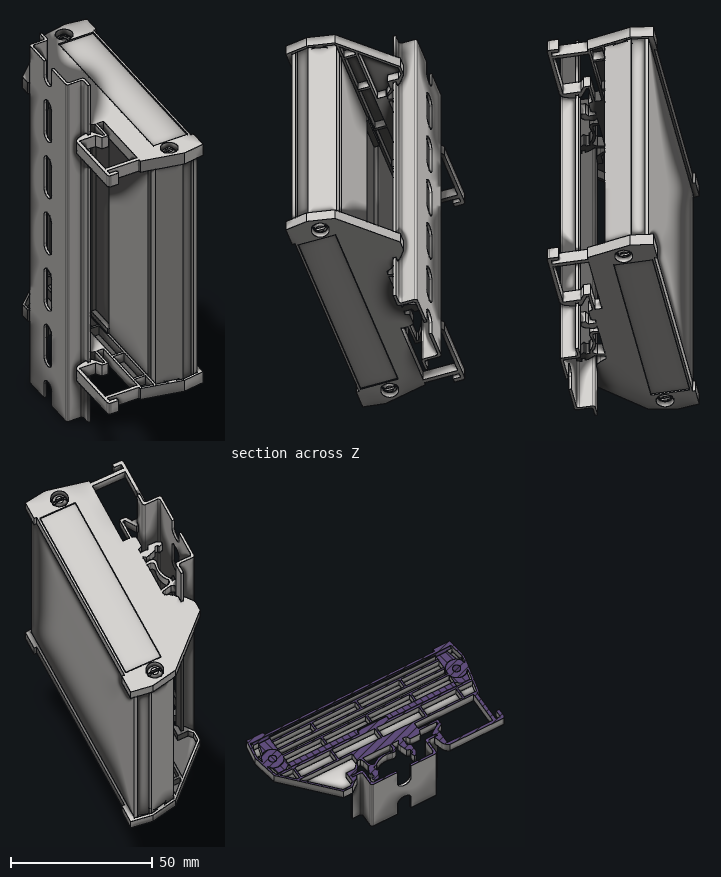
import cadquery as cq


rail_length = 150.0
rail_width = 35.1
rail_height = 7.5
rail_web_width = 27.3
rail_sheet = 1.0
rail_bend_radius = 0.9
rail_x = -0.22
rail_base_y = -19.6
rail_top_y = rail_base_y + rail_height
rail_slot_pitch = rail_length / 6
rail_slot_length = 18.0
rail_slot_width = 5.4

cap_outer_z = 53.1
cap_depth = 5.0
cap_inner_z = cap_outer_z - cap_depth
cap_wall = 0.9
cap_plate = 1.0
plate_under_z = cap_outer_z - cap_plate
horn_y = 19.8
horn_x = 42.0
horn_inner_x = 35.0
cap_back_y = 18.8
widest_x = 43.2
widest_y = 11.5
shoulder_x = 39.8
shoulder_y = -4.5
lower_corner_x = 41.2
floor_y = 1.6
foot_left_x = -23.7
foot_right_x = -20.0
foot_y = -16.8
belly_y = -8.0
catch_x = 13.0
join_overlap = 0.3
clip_root_y = belly_y + join_overlap
lever_root_x = catch_x - join_overlap
lever_root_y = shoulder_y + join_overlap

window_half_width = 34.2
window_bottom_y = 3.9
window_depth = 0.6
rib_thickness = 0.9
long_rib_ys = (14.7, 10.6, 7.5)
cross_rib_xs = (-18.3, 0.2, 18.3)
end_rib_x = 33.6

tab_width = 12.0
tab_bottom_y = 1.2
tab_reach = 2.0

cover_half_width = 41.0
cover_thickness = 1.4
cover_top_y = cap_back_y - cap_wall
cover_bottom_y = cover_top_y - cover_thickness
cover_recess = 0.5
cover_recess_y = cover_bottom_y + cover_recess
tray_half_length = plate_under_z
tray_widest_x = 41.8
tray_top_x = 38.8
tray_step_x = 40.2
tray_foot_x = 39.6
groove_outer_x = 36.5
groove_inner_x = 34.2
groove_depth = 1.6
channel_depth = 1.5
channel_top_y = floor_y + channel_depth

screw_x = 38.0
screw_y = 8.2
bore_radius = 3.2
boss_radius = 3.9
seat_depth = 3.6
head_radius = 2.7
head_height = 2.8
head_chamfer = 1.4
screw_slot_width = 0.9
screw_slot_depth = 1.2
shank_radius = 1.4
shank_length = 9.0


def extrude_between(points, z_low, z_high):
    """Prism over a closed XY outline, from z_low to z_high."""
    return cq.Workplane("XY").workplane(offset=z_low).polyline(points).close().extrude(z_high - z_low)


def box_between(x, y, z):
    """Box from (low, high) pairs along each axis."""
    size = [high - low for low, high in (x, y, z)]
    return cq.Workplane("XY").box(*size, centered=False).translate((x[0], y[0], z[0]))


def cylinder_between(x, y, radius, z_low, z_high):
    """Upright cylinder at (x, y), from z_low to z_high."""
    return cq.Workplane("XY").workplane(offset=z_low).center(x, y).circle(radius).extrude(z_high - z_low)


def make_rail():
    """Hat-section rail with rounded bends and a row of slots, the end slots open."""
    flange_x = rail_width / 2
    web_x = rail_web_width / 2
    inner_x = web_x - rail_sheet
    flange_bottom = rail_top_y - rail_sheet
    web_top = rail_base_y + rail_sheet
    right_half = [
        (web_x, rail_base_y), (web_x, flange_bottom), (flange_x, flange_bottom),
        (flange_x, rail_top_y), (inner_x, rail_top_y), (inner_x, web_top),
    ]
    left_half = [(-x, y) for x, y in reversed(right_half)]
    half_length = rail_length / 2
    rail = extrude_between(right_half + left_half, -half_length, half_length)
    bends = cq.selectors.BoxSelector(
        (-web_x - rail_sheet, rail_base_y - 1.5, -1.5), (web_x + rail_sheet, rail_top_y + 1.5, 1.5)
    )
    rail = rail.edges("|Z").edges(bends).fillet(rail_bend_radius)
    slots = (
        cq.Workplane("XZ", origin=(0, web_top, 0))
        .pushPoints([(0, i * rail_slot_pitch) for i in range(-3, 4)])
        .slot2D(rail_slot_length, rail_slot_width, 90)
        .extrude(rail_sheet)
    )
    return rail.cut(slots).translate((rail_x, 0, 0))


def cap_body():
    """Solid shield of the cap, with two horns and the fixed jaw at the lower left."""
    outline = [
        (-horn_x, horn_y), (-horn_inner_x, horn_y), (-horn_inner_x, cap_back_y),
        (horn_inner_x, cap_back_y), (horn_inner_x, horn_y), (horn_x, horn_y),
        (widest_x, widest_y), (shoulder_x, shoulder_y), (catch_x, shoulder_y),
        (catch_x, belly_y), (12.5, -9.5), (8.2, -9.5), (7.5, belly_y),
        (-11.5, belly_y), (-12.6, -8.1), (-13.8, -10.4), (-14.8, -11.7), (-15.9, -12.3), (-15.9, -13.2),
        (-16.6, -14.2), (foot_right_x, foot_y), (foot_left_x, foot_y),
        (-lower_corner_x, floor_y), (-widest_x, widest_y),
    ]
    return extrude_between(outline, cap_inner_z, cap_outer_z)


def rail_clips():
    """The hooked foot, its curved spring and the short finger that sit inside the rail."""
    hooked_foot = [
        (-11.5, clip_root_y), (-11.0, -9.3), (-10.5, -11.8), (-11.7, -14.1), (-12.0, -15.5),
        (-11.1, -15.5), (-11.1, -16.8), (-12.5, -16.8), (-11.7, -18.5), (-9.8, -18.5), (-8.8, -16.4),
        (-8.0, -15.2), (-8.8, -14.5), (-8.8, -13.2), (-7.6, -13.2), (-7.6, -12.0), (-8.8, -12.0),
        (-9.8, -10.6), (-10.4, clip_root_y),
    ]
    finger = [
        (4.5, clip_root_y), (3.5, -9.0), (3.8, -10.4), (4.6, -12.9), (5.8, -13.5), (6.0, -14.7),
        (5.2, -14.8), (5.7, -16.5), (6.6, -16.5), (7.5, -14.8), (7.5, -11.5), (6.2, -10.8),
        (6.2, clip_root_y),
    ]
    spring = (
        cq.Workplane("XY").workplane(offset=cap_inner_z)
        .moveTo(-8.0, -13.2)
        .lineTo(-8.0, -12.0)
        .threePointArc((-5.0, -10.4), (-2.2, -10.2))
        .lineTo(-0.9, -10.4)
        .threePointArc((0.3, -10.2), (0.8, -9.3))
        .lineTo(0.8, clip_root_y)
        .lineTo(1.6, clip_root_y)
        .lineTo(2.0, -9.8)
        .threePointArc((1.4, -11.1), (-0.2, -11.4))
        .lineTo(-2.2, -11.0)
        .threePointArc((-5.4, -11.5), (-8.0, -13.2))
        .close()
        .extrude(cap_depth)
    )
    clips = spring
    for outline in (hooked_foot, finger):
        clips = clips.union(extrude_between(outline, cap_inner_z, cap_outer_z))
    return clips


def release_lever():
    """Springy frame at the right that grips the other rail flange and ends in a pull hook."""
    return (
        cq.Workplane("XY").workplane(offset=cap_inner_z)
        .polyline([
            (lever_root_x, -7.0), (21.2, -7.0), (21.2, -9.6), (18.9, -11.0), (18.9, -17.4),
            (37.4, -17.4), (37.4, lever_root_y), (38.8, lever_root_y), (38.8, -17.4),
            (40.5, -17.4), (40.5, -14.5), (42.0, -14.5), (42.0, -17.7),
        ])
        .threePointArc((41.7, -18.5), (41.0, -18.8))
        .lineTo(19.0, -18.8)
        .threePointArc((17.8, -18.0), (17.0, -16.6))
        .lineTo(16.0, -13.5)
        .lineTo(16.0, -11.2)
        .lineTo(20.0, -8.7)
        .lineTo(20.0, -8.0)
        .lineTo(lever_root_x, -8.0)
        .close()
        .extrude(cap_depth)
    )


def hollow_below_plate(outline):
    """Pocket left inside an outline when a wall is kept along its edge and the plate above."""
    return (
        cq.Workplane("XY").workplane(offset=cap_inner_z)
        .polyline(outline).close().offset2D(-cap_wall, "intersection")
        .extrude(cap_depth - cap_plate)
    )


def make_cap(rail):
    """Upper end cap; its open side faces down, towards the tray."""
    slant = (lower_corner_x + foot_left_x) / (floor_y - foot_y)
    wall_bottom_x = -lower_corner_x + slant * (floor_y - shoulder_y)
    wall_top_x = wall_bottom_x - slant * cap_wall
    wall_top_y = shoulder_y + cap_wall
    housing_outline = [
        (-horn_x, cap_back_y), (horn_x, cap_back_y), (widest_x, widest_y), (shoulder_x, shoulder_y),
        (wall_bottom_x, shoulder_y), (-lower_corner_x, floor_y), (-widest_x, widest_y),
    ]
    jaw_outline = [
        (wall_top_x, wall_top_y), (-11.8, wall_top_y), (-11.8, -8.1), (-14.8, -11.2), (-17.8, -11.2),
        (-17.8, -14.8), (foot_right_x, foot_y), (foot_left_x, foot_y),
    ]
    housing_pocket = hollow_below_plate(housing_outline)
    cap = cap_body().cut(housing_pocket).cut(hollow_below_plate(jaw_outline))
    cap = cap.union(rail_clips()).union(release_lever()).cut(rail)

    under_plate = (cap_inner_z, plate_under_z)
    half_rib = rib_thickness / 2
    for y in long_rib_ys:
        cap = cap.union(box_between((-window_half_width, window_half_width),
                                    (y - half_rib, y + half_rib), under_plate))
    support_x = (-widest_x, widest_x)
    support = box_between(support_x, (floor_y - rib_thickness, floor_y), under_plate)
    cap = cap.union(support.intersect(housing_pocket))
    cross_spans = [
        (shoulder_y, floor_y),
        (window_bottom_y, long_rib_ys[2]),
        (long_rib_ys[1], long_rib_ys[0]),
    ]
    for x in cross_rib_xs:
        for span in cross_spans:
            cap = cap.union(box_between((x - half_rib, x + half_rib), span, under_plate))
    for x in (-end_rib_x, end_rib_x):
        cap = cap.union(box_between((x - half_rib, x + half_rib), cross_spans[0], under_plate))

    cap = cap.union(box_between((-window_half_width, window_half_width),
                                (cover_bottom_y, cover_recess_y), under_plate))

    tab = box_between((-tab_width / 2, tab_width / 2), (tab_bottom_y, channel_top_y),
                      (cap_inner_z - tab_reach, plate_under_z))
    cap = cap.union(tab)

    for x in (-screw_x, screw_x):
        cap = cap.union(cylinder_between(x, screw_y, boss_radius, cap_inner_z, cap_outer_z))
        cap = cap.cut(cylinder_between(x, screw_y, bore_radius, cap_outer_z - seat_depth, cap_outer_z))
        cap = cap.cut(cylinder_between(x, screw_y, shank_radius, cap_inner_z, cap_outer_z))

    window = box_between((-window_half_width, window_half_width), (window_bottom_y, cover_top_y),
                         (cap_outer_z - window_depth, cap_outer_z))
    return cap.cut(window)


def make_tray():
    """Extruded tray with side grooves, two V grooves and a central channel underneath."""
    right_half = [
        (tab_width / 2, channel_top_y), (tab_width / 2, floor_y), (groove_inner_x, floor_y),
        (groove_inner_x, floor_y + groove_depth), (groove_outer_x, floor_y), (tray_foot_x, floor_y),
        (tray_widest_x, widest_y), (tray_step_x, widest_y), (tray_top_x, cover_bottom_y),
        (window_half_width, cover_bottom_y), (window_half_width, window_bottom_y),
    ]
    left_half = [(-x, y) for x, y in reversed(right_half)]
    return extrude_between(right_half + left_half, -tray_half_length, tray_half_length)


def make_cover():
    """Flat cover resting on the tray walls, recessed underneath between them."""
    length = (-tray_half_length, tray_half_length)
    plate = box_between((-cover_half_width, cover_half_width), (cover_bottom_y, cover_top_y), length)
    recess = box_between((-window_half_width, window_half_width), (cover_bottom_y, cover_recess_y), length)
    return plate.cut(recess)


def make_screw(x):
    """Slotted screw of the upper cap, its head standing on the counterbore floor."""
    seat_z = cap_outer_z - seat_depth
    head_top = seat_z + head_height
    head = cylinder_between(x, screw_y, head_radius, seat_z, head_top).faces(">Z").chamfer(head_chamfer)
    slot = box_between(
        (x - screw_slot_width / 2, x + screw_slot_width / 2),
        (screw_y - head_radius, screw_y + head_radius),
        (head_top - screw_slot_depth, head_top),
    )
    shank = cylinder_between(x, screw_y, shank_radius, seat_z - shank_length, seat_z)
    return head.union(shank).cut(slot)


rail = make_rail()
upper_cap = make_cap(rail)
caps = [upper_cap, upper_cap.mirror("XY")]
upper_screws = [make_screw(x) for x in (-screw_x, screw_x)]
screws = upper_screws + [screw.mirror("XY") for screw in upper_screws]

cover = make_cover()

tray = make_tray()
for x in (-screw_x, screw_x):
    for z_low, z_high in ((cap_inner_z, cap_outer_z), (-cap_outer_z, -cap_inner_z)):
        tray = tray.cut(cylinder_between(x, screw_y, boss_radius, z_low, z_high))
for screw in screws:
    tray = tray.cut(screw)

bodies = [rail, tray, cover, *caps, *screws]
result = cq.Compound.makeCompound([body.solids().val() for body in bodies])